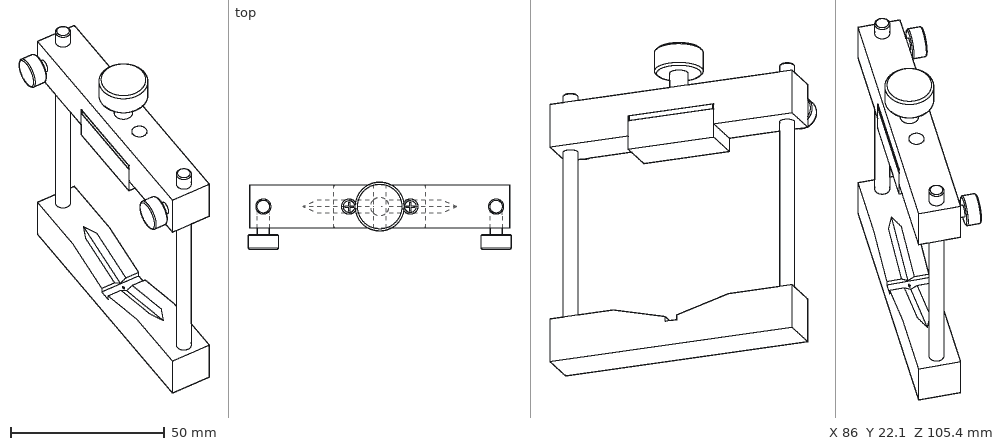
import cadquery as cq
import math

overall_height = 105.4
block_length = 85.0
block_depth = 14.1
block_height = 15.0
beam_bottom = 75.0
beam_top = beam_bottom + block_height

rod_spacing = 76.0
rod_diameter = 5.0
rod_bottom = 5.0
rod_top = 95.0
rod_chamfer = 0.4
rod_positions = [(-rod_spacing / 2, 0), (rod_spacing / 2, 0)]

valley_half_width = 20.2
slot_width = 4.0
slot_floor = 8.4
slope_angle = 15.0
groove_width = 4.3
groove_depth = 1.3
groove_length = 63.2

jaw_length = 30.0
jaw_bottom = 70.4
jaw_block_height = 10.0
pocket_ceiling = 82.1
neck_setback = 0.1
neck_chamfer = 0.4

pin_spacing = 20.0
pin_diameter = 3.8
pin_height = 2.1
pin_dome_rise = 0.37
pin_end_fillet = 0.4
pin_cross_span = 2.7
pin_cross_width = 0.5
pin_cross_depth = 0.8
pin_hole_diameter = 5.0
pin_positions = [(-pin_spacing / 2, 0), (pin_spacing / 2, 0)]

screw_knob_diameter = 16.0
screw_knob_height = 8.0
screw_stem_diameter = 6.0
screw_knob_chamfer = 0.7

clamp_knob_diameter = 10.0
clamp_knob_height = 5.0
clamp_stem_diameter = 4.0
clamp_gap = 2.0
clamp_knob_chamfer = 0.4
clamp_z = beam_bottom + block_height / 2


def make_block(length, bottom, height):
    """Plain rectangular block centred on X and Y, standing on the given height."""
    return cq.Workplane("XY", origin=(0, 0, bottom)).box(
        length, block_depth, height, centered=(True, True, False)
    )


def make_cylinders(positions, diameter, bottom, top):
    """Upright cylinders, one at each position."""
    return (
        cq.Workplane("XY", origin=(0, 0, bottom))
        .pushPoints(positions)
        .circle(diameter / 2)
        .extrude(top - bottom)
    )


def make_valley_cutter():
    """Two slopes falling towards a square slot, all running through in Y."""
    slot_half = slot_width / 2
    slope_foot = block_height - (valley_half_width - slot_half) * math.tan(math.radians(slope_angle))
    return (
        cq.Workplane("XZ")
        .moveTo(-valley_half_width, block_height)
        .lineTo(-slot_half, slope_foot)
        .lineTo(-slot_half, slot_floor)
        .lineTo(slot_half, slot_floor)
        .lineTo(slot_half, slope_foot)
        .lineTo(valley_half_width, block_height)
        .close()
        .extrude(block_depth / 2, both=True)
    )


def make_groove_cutter(side):
    """V groove running down one slope (side is -1 or 1), from the slot out through the top face."""
    groove = (
        cq.Workplane("YZ")
        .moveTo(-groove_width / 2, 0)
        .lineTo(0, -groove_depth)
        .lineTo(groove_width / 2, 0)
        .close()
        .extrude(side * groove_length / 2, both=True)
    )
    tilted = groove.rotate((0, 0, 0), (0, 1, 0), -side * slope_angle)
    placed = tilted.translate((side * valley_half_width, 0, block_height))
    keep_side = cq.Workplane("XY").box(groove_length, block_depth, groove_length)
    return placed.intersect(keep_side.translate((side * groove_length / 2, 0, block_height)))


def make_base():
    """Bottom block with a grooved valley and a blind seat for each rod."""
    base = make_block(block_length, 0, block_height).cut(make_valley_cutter())
    for side in (-1, 1):
        base = base.cut(make_groove_cutter(side))
    return base.cut(make_cylinders(rod_positions, rod_diameter, rod_bottom, block_height))


def make_beam():
    """Cross beam with a jaw pocket below and holes for the rods, pins and screws."""
    beam = make_block(block_length, beam_bottom, block_height)
    beam = beam.cut(make_block(jaw_length, beam_bottom, pocket_ceiling - beam_bottom))
    beam = beam.cut(make_cylinders(rod_positions, rod_diameter, beam_bottom, beam_top))
    beam = beam.cut(make_cylinders(pin_positions, pin_hole_diameter, pocket_ceiling, beam_top))
    beam = beam.cut(make_cylinders([(0, 0)], screw_stem_diameter, pocket_ceiling, beam_top))
    clamp_holes = (
        cq.Workplane("XZ", origin=(0, 0, clamp_z))
        .pushPoints(rod_positions)
        .circle(clamp_stem_diameter / 2)
        .extrude(block_depth / 2)
    )
    return beam.cut(clamp_holes)


def make_jaw_pin(x, y):
    """Round pin standing on the jaw, its end domed, rounded at the rim and cut by a cross recess."""
    radius = pin_diameter / 2
    shoulder = pin_height - pin_dome_rise
    dome_radius = (radius**2 + pin_dome_rise**2) / (2 * pin_dome_rise)
    half_angle = math.asin(radius / dome_radius) / 2
    dome_middle = (
        dome_radius * math.sin(half_angle),
        pin_height - dome_radius * (1 - math.cos(half_angle)),
    )
    pin = (
        cq.Workplane("XZ")
        .lineTo(radius, 0)
        .lineTo(radius, shoulder)
        .threePointArc(dome_middle, (0, pin_height))
        .close()
        .revolve(360, (0, 0), (0, 1))
        .edges(cq.selectors.RadiusNthSelector(0))
        .edges(">Z")
        .fillet(pin_end_fillet)
    )
    recess_floor = cq.Workplane("XY", origin=(0, 0, pin_height - pin_cross_depth))
    for arm_x, arm_y in [(pin_cross_span, pin_cross_width), (pin_cross_width, pin_cross_span)]:
        pin = pin.cut(recess_floor.rect(arm_x, arm_y).extrude(pin_cross_depth))
    return pin.translate((x, y, pocket_ceiling))


def make_jaw():
    """Block with a shallow stepped-back neck that fills the pocket, carrying two pins."""
    neck_bottom = jaw_bottom + jaw_block_height
    jaw = make_block(jaw_length, jaw_bottom, jaw_block_height)
    neck = (
        cq.Workplane("XY", origin=(0, 0, neck_bottom))
        .rect(jaw_length, block_depth - 2 * neck_setback)
        .extrude(pocket_ceiling - neck_bottom)
        .edges("|Z")
        .chamfer(neck_chamfer)
    )
    jaw = jaw.union(neck)
    for x, y in pin_positions:
        jaw = jaw.union(make_jaw_pin(x, y))
    return jaw


def make_rod(x, y):
    """Upright rod seated in the base, chamfered at its top."""
    rod = make_cylinders([(x, y)], rod_diameter, rod_bottom, rod_top)
    return rod.faces(">Z").chamfer(rod_chamfer)


def make_knob_screw(knob_diameter, knob_height, knob_chamfer, stem_diameter, stem_length):
    """Upright screw with its stem's end at the origin and its knob on top."""
    stem = cq.Workplane("XY").circle(stem_diameter / 2).extrude(stem_length)
    knob = (
        cq.Workplane("XY", origin=(0, 0, stem_length))
        .circle(knob_diameter / 2)
        .extrude(knob_height)
        .faces("|Z")
        .edges()
        .chamfer(knob_chamfer)
    )
    return stem.union(knob)


def make_pressure_screw():
    """Vertical screw reaching down through the beam to the top of the jaw."""
    stem_length = overall_height - screw_knob_height - pocket_ceiling
    screw = make_knob_screw(
        screw_knob_diameter, screw_knob_height, screw_knob_chamfer, screw_stem_diameter, stem_length
    )
    return screw.translate((0, 0, pocket_ceiling))


def make_clamp_screw(x):
    """Horizontal screw whose stem reaches in from the front to touch the rod."""
    stem_length = clamp_gap + (block_depth - rod_diameter) / 2
    screw = make_knob_screw(
        clamp_knob_diameter, clamp_knob_height, clamp_knob_chamfer, clamp_stem_diameter, stem_length
    )
    facing_front = screw.rotate((0, 0, 0), (1, 0, 0), 90)
    return facing_front.translate((x, -rod_diameter / 2, clamp_z))


base = make_base()
beam = make_beam()
jaw = make_jaw()
pressure_screw = make_pressure_screw()
rods = [make_rod(x, y).val() for x, y in rod_positions]
clamp_screws = [make_clamp_screw(x).val() for x, y in rod_positions]

result = cq.Compound.makeCompound(
    [base.val(), beam.val(), jaw.val(), pressure_screw.val(), *rods, *clamp_screws]
)